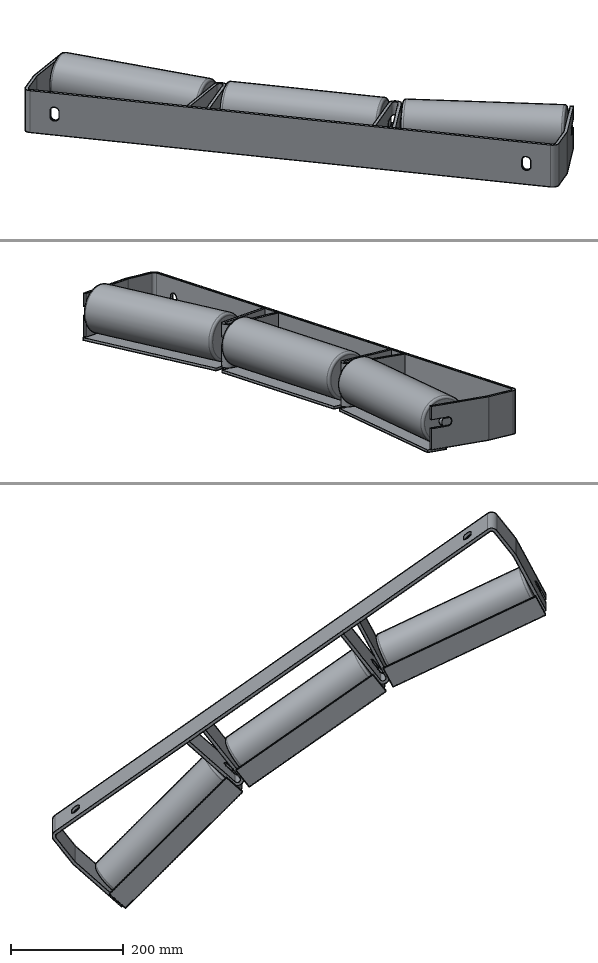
import cadquery as cq
import math


STRIP_THICKNESS = 6.0
STRIP_HEIGHT = 80.0
FRAME_LENGTH = 980.0
BEND_RADIUS = 12.0
FRAME_LEG_BEND_Y = 69.0
FRAME_LEG_END_Y = 185.0

BOLT_SLOT_WIDTH = 17.0
BOLT_SLOT_HEIGHT = 26.0
BOLT_SLOT_INSET = 57.0

ROLLER_DIAMETER = 89.0
ROLLER_LENGTH = 291.0
ROLLER_END_FILLET = 5.0
ROLLER_TOP_Z = 92.0
WING_ANGLE = 10.0
MIDDLE_AXIS_Y = 100.0
WING_CENTRE_Y = 127.0

BRACKET_GAP = 299.0
SHAFT_RADIUS = 10.0
SHAFT_FLATS = 14.0
SHAFT_SLOT_WIDTH = 17.0
SHAFT_SLOT_CENTRE_DROP = 2.45
SHAFT_SLOT_REACH = 13.0

HAIRPIN_BEND_Y = 115.0

PLATE_THICKNESS = 5.0
PLATE_BACK = 37.0
PLATE_FRONT = 2.0
PLATE_LAP = 2.0

half_gap = BRACKET_GAP / 2
slope = math.tan(math.radians(WING_ANGLE))
wing_cos = math.cos(math.radians(WING_ANGLE))
wing_sin = math.sin(math.radians(WING_ANGLE))
axis_z = ROLLER_TOP_Z - ROLLER_DIAMETER / 2

outer_reach = half_gap + STRIP_THICKNESS
outer_face_y = WING_CENTRE_Y + outer_reach * wing_sin
wing_centre_x = FRAME_LENGTH / 2 - (outer_face_y - FRAME_LEG_BEND_Y) * slope - outer_reach * wing_cos

STATIONS = [
    (-wing_centre_x, WING_CENTRE_Y, -WING_ANGLE),
    (0.0, MIDDLE_AXIS_Y, 0.0),
    (wing_centre_x, WING_CENTRE_Y, WING_ANGLE),
]


def at_station(shape, station):
    """Move a shape modelled along X about the origin to one roller's place."""
    x, y, angle = station
    return shape.rotate((0, 0, 0), (0, 0, 1), angle).translate((x, y, 0))


def make_roller():
    """Roller drum with its shaft; the shaft ends are flattened above and below."""
    drum = (
        cq.Workplane("YZ", origin=(-ROLLER_LENGTH / 2, 0, axis_z))
        .circle(ROLLER_DIAMETER / 2)
        .extrude(ROLLER_LENGTH)
        .edges()
        .fillet(ROLLER_END_FILLET)
    )
    shaft_length = 2 * outer_reach
    shaft_start = (-outer_reach, 0, axis_z)
    shaft = cq.Workplane("YZ", origin=shaft_start).circle(SHAFT_RADIUS).extrude(shaft_length)
    flats = cq.Workplane("XY", origin=(0, 0, axis_z)).box(shaft_length, 2 * SHAFT_RADIUS, SHAFT_FLATS)
    return drum.union(shaft.intersect(flats))


def make_shaft_slot():
    """Cutter for both slots of a roller: round bottom, open towards +Y, long enough to cross the hairpin bends."""
    reach = half_gap + SHAFT_SLOT_REACH
    half_width = SHAFT_SLOT_WIDTH / 2
    bottom_y = -SHAFT_SLOT_CENTRE_DROP
    return (
        cq.Workplane("YZ", origin=(-reach, 0, axis_z))
        .moveTo(FRAME_LEG_END_Y, half_width)
        .lineTo(bottom_y, half_width)
        .threePointArc((bottom_y - half_width, 0), (bottom_y, -half_width))
        .lineTo(FRAME_LEG_END_Y, -half_width)
        .close()
        .extrude(2 * reach)
    )


def round_bends(strip, corners, radius):
    """Fillet the upright edges of the strip that stand at the given corners."""
    for x, y in corners:
        strip = strip.edges(cq.selectors.NearestToPointSelector((x, y, STRIP_HEIGHT / 2))).fillet(radius)
    return strip


def make_frame():
    """Bent strip: long front flange, two side legs, each leg leaning inwards past its bend."""
    half_length = FRAME_LENGTH / 2
    lean = (FRAME_LEG_END_Y - FRAME_LEG_BEND_Y) * slope
    outer = [
        (-half_length + lean, FRAME_LEG_END_Y),
        (-half_length, FRAME_LEG_BEND_Y),
        (-half_length, 0),
        (half_length, 0),
        (half_length, FRAME_LEG_BEND_Y),
        (half_length - lean, FRAME_LEG_END_Y),
    ]
    inner_x = half_length - STRIP_THICKNESS
    inner_bend_y = FRAME_LEG_BEND_Y - STRIP_THICKNESS * math.tan(math.radians(WING_ANGLE / 2))
    tip_x = half_length - lean - STRIP_THICKNESS * wing_cos
    tip_y = FRAME_LEG_END_Y - STRIP_THICKNESS * wing_sin
    inner = [
        (tip_x, tip_y),
        (inner_x, inner_bend_y),
        (inner_x, STRIP_THICKNESS),
        (-inner_x, STRIP_THICKNESS),
        (-inner_x, inner_bend_y),
        (-tip_x, tip_y),
    ]
    strip = cq.Workplane("XY").polyline(outer + inner).close().extrude(STRIP_HEIGHT)
    outer_bends = [(x, y) for x, y in outer if abs(x) == half_length]
    inner_bends = [(x, y) for x, y in inner if abs(x) == inner_x]
    strip = round_bends(strip, outer_bends, BEND_RADIUS)
    strip = round_bends(strip, inner_bends, BEND_RADIUS - STRIP_THICKNESS)
    bolt_x = half_length - BOLT_SLOT_INSET
    bolt_slots = (
        cq.Workplane("XZ", origin=(0, STRIP_THICKNESS, STRIP_HEIGHT / 2))
        .pushPoints([(-bolt_x, 0), (bolt_x, 0)])
        .slot2D(BOLT_SLOT_HEIGHT, BOLT_SLOT_WIDTH, 90)
        .extrude(STRIP_THICKNESS)
    )
    return strip.cut(bolt_slots)


def make_right_hairpin():
    """Strip folded round a bend: one leg square to the middle roller, one square to the right wing roller."""
    foot_y = STRIP_THICKNESS
    face_x = wing_centre_x - half_gap * wing_cos
    face_y = WING_CENTRE_Y - half_gap * wing_sin

    def leaning_face_x(y):
        return face_x - (y - face_y) * slope

    outer_radius = (leaning_face_x(HAIRPIN_BEND_Y) - half_gap) / (1 + 1 / wing_cos)
    inner_radius = outer_radius - STRIP_THICKNESS
    centre_x = half_gap + outer_radius

    def on_bend(radius, degrees):
        turn = math.radians(degrees)
        return (centre_x + radius * math.cos(turn), HAIRPIN_BEND_Y + radius * math.sin(turn))

    inner_foot_x = leaning_face_x(foot_y) - STRIP_THICKNESS / wing_cos
    return (
        cq.Workplane("XY")
        .moveTo(half_gap, foot_y)
        .lineTo(*on_bend(outer_radius, 180))
        .threePointArc(on_bend(outer_radius, 90), on_bend(outer_radius, WING_ANGLE))
        .lineTo(leaning_face_x(foot_y), foot_y)
        .lineTo(inner_foot_x, foot_y)
        .lineTo(*on_bend(inner_radius, WING_ANGLE))
        .threePointArc(on_bend(inner_radius, 90), on_bend(inner_radius, 180))
        .lineTo(half_gap + STRIP_THICKNESS, foot_y)
        .close()
        .extrude(STRIP_HEIGHT)
    )


def make_tie_plate():
    """Flat bar below a roller, lapping under the bracket at each end."""
    length = BRACKET_GAP + 2 * PLATE_LAP
    return (
        cq.Workplane("XY", origin=(0, -PLATE_FRONT, -PLATE_THICKNESS))
        .box(length, PLATE_BACK + PLATE_FRONT, PLATE_THICKNESS, centered=(True, False, False))
    )


rollers = [at_station(make_roller(), station) for station in STATIONS]
tie_plates = [at_station(make_tie_plate(), station) for station in STATIONS]

frame = make_frame()
right_hairpin = make_right_hairpin()
hairpins = [right_hairpin.mirror("YZ"), right_hairpin]
for station in STATIONS:
    shaft_slot = at_station(make_shaft_slot(), station)
    hairpins = [hairpin.cut(shaft_slot) for hairpin in hairpins]
    frame = frame.cut(shaft_slot)

bodies = [frame, *hairpins, *rollers, *tie_plates]
result = cq.Compound.makeCompound([body.val() for body in bodies])